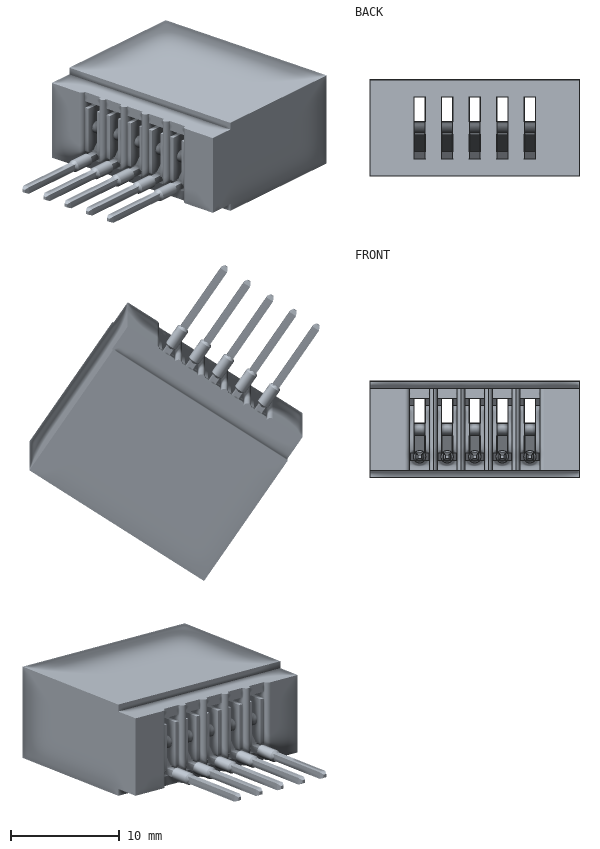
import cadquery as cq
import math


total_length = 25.92
housing_width = 19.3
housing_height = 8.9
housing_length = 16.38
nose_length = 2.51
nose_step = 0.67
nose_height = housing_height - 2 * nose_step

contact_count = 5
contact_pitch = 2.55
contact_height = -2.51
contact_positions = [(i - (contact_count - 1) / 2) * contact_pitch for i in range(contact_count)]

tail_side = 0.65
tail_length = total_length - housing_length
tip_length = 0.35
tip_side = 0.3
collar_radius = 0.57
collar_chamfer = 0.29
collar_length = 2.5
collar_gap = 0.1

recess_width = 1.81
recess_depth = 0.41

slot_width = 1.0
groove_height = tail_side
slot_height = 2 * abs(contact_height) + groove_height
groove_end = nose_length

bar_radius = 0.57
bar_center_y = 1.5

shoulder_width = 1.7
shoulder_front = 0.88
arm_width = 0.95
arm_start = 1.1
arm_angle = 50.0
arm_thickness = 0.3
arm_tip_height = -0.41


def box(width, y_start, y_end, height, x=0.0, z=0.0):
    """Box centred on x and z, running from y_start to y_end."""
    length = y_end - y_start
    return cq.Workplane("XY").box(width, length, height).translate((x, y_start + length / 2, z))


def make_recess(x):
    """Cutter for one shallow recess whose side walls flare out toward the nose face."""
    half_width = recess_width / 2
    mouth = half_width + recess_depth
    arc_x = half_width + recess_depth * (1 - math.sqrt(0.5))
    arc_y = recess_depth * (1 - math.sqrt(0.5))
    return (
        cq.Workplane("XY")
        .moveTo(-mouth, 0)
        .threePointArc((-arc_x, arc_y), (-half_width, recess_depth))
        .lineTo(half_width, recess_depth)
        .threePointArc((arc_x, arc_y), (mouth, 0))
        .close()
        .extrude(nose_height / 2, both=True)
        .translate((x, 0, 0))
    )


def make_housing():
    block = box(housing_width, nose_length, housing_length, housing_height)
    nose = box(housing_width, 0, nose_length, nose_height)
    housing = nose.union(block)
    for x in contact_positions:
        housing = housing.cut(make_recess(x))
        housing = housing.cut(box(slot_width, 0, housing_length, slot_height, x))
        for z in (contact_height, -contact_height):
            housing = housing.cut(box(recess_width, 0, groove_end, groove_height, x, z))

    bar_length = (contact_count - 1) * contact_pitch + recess_width
    bar = (
        cq.Workplane("YZ")
        .center(bar_center_y, 0)
        .circle(bar_radius)
        .extrude(bar_length / 2, both=True)
    )
    return housing.union(bar)


def make_tail():
    """Square tail, tapered at the free end, with a chamfered round collar near the housing."""
    tail = box(tail_side, tip_length - tail_length, shoulder_front, tail_side)
    tip = (
        cq.Workplane("XZ", origin=(0, tip_length - tail_length, 0))
        .rect(tail_side, tail_side)
        .workplane(offset=tip_length)
        .rect(tip_side, tip_side)
        .loft()
    )
    collar = (
        cq.Workplane("XZ", origin=(0, -collar_gap, 0))
        .circle(collar_radius)
        .extrude(collar_length)
        .faces("<Y or >Y")
        .chamfer(collar_chamfer)
    )
    return tail.union(tip).union(collar)


def make_arm():
    """Sloping spring arm with a round tip, rising from the middle of the shoulder."""
    slope = math.radians(arm_angle)
    half_thickness = arm_thickness / 2
    tip_rise = arm_tip_height - contact_height
    arm_length = (tip_rise - half_thickness * (1 - math.cos(slope))) / math.sin(slope)
    arm = (
        cq.Workplane("YZ")
        .lineTo(arm_length, 0)
        .threePointArc((arm_length + half_thickness, -half_thickness), (arm_length, -arm_thickness))
        .lineTo(0, -arm_thickness)
        .close()
        .extrude(arm_width / 2, both=True)
        .rotate((0, 0, 0), (1, 0, 0), arm_angle)
    )
    rise_to_surface = tail_side / 2 / math.tan(slope)
    return arm.translate((0, arm_start - rise_to_surface, 0))


def make_contact(x):
    shoulder = box(shoulder_width, shoulder_front, groove_end, tail_side)
    contact = shoulder.union(make_tail()).union(make_arm())
    return contact.translate((x, 0, contact_height))


housing = make_housing()
contacts = [make_contact(x) for x in contact_positions]

result = cq.Compound.makeCompound([housing.val(), *[contact.val() for contact in contacts]])